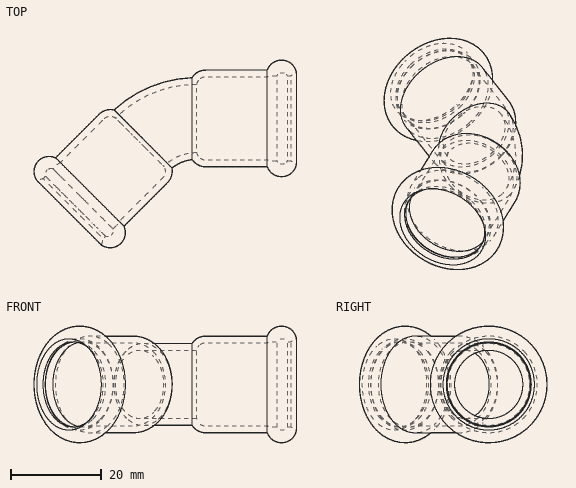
import cadquery as cq
import math

overall_length = 57.75
bend_angle = 45.0

bead_outer_radius = 25.7 / 2
bead_radius = 3.35
sleeve_radius = 21.3 / 2
shoulder_length = 3.0
socket_length = 23.0

mouth_radius = 10.05
lip_radius = 18.7 / 2
bore_radius = 18.3 / 2
mouth_taper_depth = 1.25
groove_start = 2.0
groove_end = 4.35
groove_height = 0.7
lead_in_start = 5.6
lead_in_end = 6.4
inner_shoulder_length = 1.95

tube_radius = 9.0
tube_bore_radius = 7.5

bead_center_radius = bead_outer_radius - bead_radius
bead_setback = math.sqrt(bead_radius**2 - (mouth_radius - bead_center_radius) ** 2)
cos_bend = math.cos(math.radians(bend_angle))
sin_bend = math.sin(math.radians(bend_angle))
bead_overhang = bead_center_radius * sin_bend + bead_radius
reach = (overall_length - bead_overhang + bead_setback * cos_bend) / (1 + cos_bend)

tube_end = reach - socket_length
shoulder_end = tube_end + shoulder_length
bend_start = shoulder_end - inner_shoulder_length
bend_radius = bend_start / math.tan(math.radians(bend_angle / 2))


def shoulder_middle(start_radius, end_radius, length):
    """Midpoint of an arc that leaves the straight wall tangentially and closes in to end_radius."""
    drop = start_radius - end_radius
    arc_radius = (length**2 + drop**2) / (2 * drop)
    half_sweep = math.asin(length / arc_radius) / 2
    x = shoulder_end - arc_radius * math.sin(half_sweep)
    radius = start_radius - arc_radius * (1 - math.cos(half_sweep))
    return x, radius


def revolve_about_x(profile):
    return profile.close().revolve(360, (0, 0, 0), (1, 0, 0))


def socket_body():
    bead_x = reach - bead_setback
    sleeve = revolve_about_x(
        cq.Workplane("XY")
        .moveTo(tube_end, 0)
        .lineTo(tube_end, tube_radius)
        .threePointArc(
            shoulder_middle(sleeve_radius, tube_radius, shoulder_length),
            (shoulder_end, sleeve_radius),
        )
        .lineTo(bead_x, sleeve_radius)
        .lineTo(bead_x, 0)
    )
    bead = revolve_about_x(
        cq.Workplane("XY")
        .moveTo(bead_x - bead_radius, 0)
        .lineTo(bead_x - bead_radius, bead_center_radius)
        .threePointArc((bead_x, bead_outer_radius), (reach, mouth_radius))
        .lineTo(reach, 0)
    )
    return sleeve.union(bead)


def socket_cavity():
    groove_middle = (groove_start + groove_end) / 2
    return revolve_about_x(
        cq.Workplane("XY")
        .moveTo(reach, 0)
        .lineTo(reach, mouth_radius)
        .lineTo(reach - mouth_taper_depth, lip_radius)
        .lineTo(reach - groove_start, lip_radius)
        .threePointArc(
            (reach - groove_middle, lip_radius + groove_height),
            (reach - groove_end, lip_radius),
        )
        .lineTo(reach - lead_in_start, lip_radius)
        .lineTo(reach - lead_in_end, bore_radius)
        .lineTo(shoulder_end, bore_radius)
        .threePointArc(
            shoulder_middle(bore_radius, tube_bore_radius, inner_shoulder_length),
            (bend_start, tube_bore_radius),
        )
        .lineTo(bend_start, 0)
    )


def bent_rod(radius):
    """Solid round bar following the bend between the two sockets."""
    return (
        cq.Workplane("YZ", origin=(bend_start, 0, 0))
        .circle(radius)
        .revolve(bend_angle, (-bend_radius, 0, 0), (-bend_radius, 1, 0))
    )


def at_both_ends(shape):
    """The +X socket shape together with its copy at the other end of the bend."""
    turned = shape.rotate((0, 0, 0), (0, 0, 1), 180 + bend_angle)
    return shape.union(turned)


outside = at_both_ends(socket_body()).union(bent_rod(tube_radius))
inside = at_both_ends(socket_cavity()).union(bent_rod(tube_bore_radius))
result = outside.cut(inside)